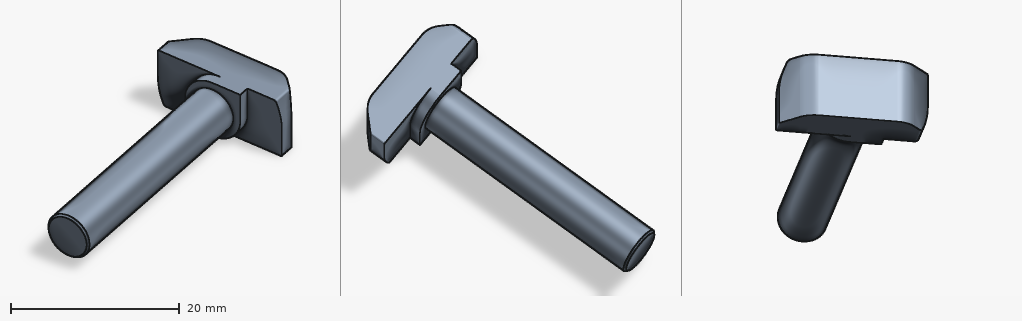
import cadquery as cq

total_length = 36.5
head_length = 18.0
width = 8.0
head_thickness = 5.0
collar_height = 1.5
shank_diameter = 6.0
shank_tip_chamfer = 0.25
slope_drop = 3.0
slope_blend_radius = 3.0
rounded_corner_radius = 0.6
square_corner_radius = 0.2

head_half_length = head_length / 2
half_width = width / 2
shank_end = head_thickness - total_length


def trimmed_block(half_length, depth, round_side):
    """Block from Y = 0 to Y = depth with two opposite corners trimmed by a circle.

    round_side is +1 to trim the (+X, +Z) and (-X, -Z) corners,
    or -1 to trim the (+X, -Z) and (-X, +Z) corners.
    """
    plane = cq.Workplane("XZ")
    quadrant_x = half_length / 2
    quadrant_z = round_side * half_width / 2
    block = plane.rect(2 * half_length, width).extrude(-depth)
    disc = plane.circle(half_length).extrude(-depth)
    square_quadrants = (
        plane.pushPoints([(-quadrant_x, quadrant_z), (quadrant_x, -quadrant_z)])
        .rect(half_length, half_width)
        .extrude(-depth)
    )
    return block.intersect(disc.union(square_quadrants))


def corner_edges(block, x_sign, z_sign):
    """Select the edge along Y at the outermost X of the top or bottom face."""
    face = ">Z" if z_sign > 0 else "<Z"
    edge = ">X" if x_sign > 0 else "<X"
    return block.faces(face).edges("|Y").edges(edge)


def make_head():
    head = trimmed_block(head_half_length, head_thickness, 1)
    for side in (-1, 1):
        head = corner_edges(head, side, side).fillet(rounded_corner_radius)
        head = corner_edges(head, side, -side).fillet(square_corner_radius)

    shoulder = head_thickness - slope_drop
    flat_half_length = head_half_length - slope_drop
    profile = (
        cq.Workplane("XY", origin=(0, 0, -half_width))
        .polyline([
            (-head_half_length, 0),
            (head_half_length, 0),
            (head_half_length, shoulder),
            (flat_half_length, head_thickness),
            (-flat_half_length, head_thickness),
            (-head_half_length, shoulder),
        ])
        .close()
        .extrude(width)
        .faces(">Y")
        .edges("|Z")
        .fillet(slope_blend_radius)
    )
    return head.intersect(profile)


def make_collar():
    """Square collar with two opposite corners fully rounded."""
    return trimmed_block(half_width, -collar_height, -1)


def make_shank():
    return (
        cq.Workplane("XZ")
        .circle(shank_diameter / 2)
        .extrude(-shank_end)
        .faces("<Y")
        .chamfer(shank_tip_chamfer)
    )


result = make_head().union(make_collar()).union(make_shank())